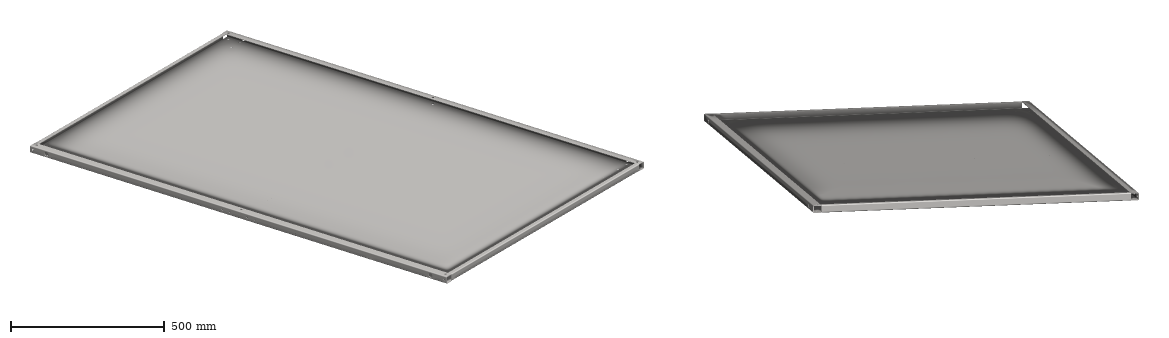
import cadquery as cq

length = 1683.0
width = 1085.0
height = 25.0

sheet_thickness = 2.0
bend_radius = 3.0
long_lip_width = 27.0
end_lip_width = 15.0

floor_hole_diameter = 8.0
floor_hole_inset_x = 60.0
floor_hole_inset_y = 59.0
covered_hole_inset_y = 13.0

lip_hole_diameter = 8.0
lip_hole_inset_x = 16.0
lip_hole_inset_y = 15.0

wall_hole_diameter = 15.0
wall_hole_inset = 65.0
screw_hole_diameter = 5.9
screw_hole_inset = 10.0
inner_screw_offset = 35.0
outer_screw_offset = 65.0

half_length = length / 2
half_width = width / 2


def folded_side(lip_width, span):
    """Channel along X, open toward +Y, with its outer wall on Y = 0 and its floor on Z = 0."""

    def bar(offset, radius):
        """Bar set in from the outer wall, floor and lip, with its two outer edges rounded."""
        return (
            cq.Workplane("XY", origin=(0, offset, offset))
            .box(span, lip_width, height - 2 * offset, centered=(True, False, False))
            .edges("|X and <Y")
            .fillet(radius)
        )

    outside = bar(0, bend_radius)
    inside = bar(sheet_thickness, bend_radius - sheet_thickness)
    return outside.cut(inside)


def folded_tray():
    """Floor with its two long sides and the two end sides fitted between their lips."""
    end_span = width - 2 * long_lip_width
    floor = cq.Workplane("XY").box(
        length - 2 * end_lip_width, end_span, sheet_thickness, centered=(True, True, False)
    )
    long_side = folded_side(long_lip_width, length).translate((0, -half_width, 0))
    end_side = folded_side(end_lip_width, end_span).translate((0, -half_length, 0))
    tray = floor
    for turn in (0, 180):
        tray = tray.union(long_side.rotate((0, 0, 0), (0, 0, 1), turn))
        tray = tray.union(end_side.rotate((0, 0, 0), (0, 0, 1), turn + 90))
    return tray


def vertical_holes(offsets_x, offsets_y, diameter, depth):
    """Holes upward from the underside, at every pairing of the given X and Y offsets."""
    places = [(x, y) for x in offsets_x for y in offsets_y]
    return cq.Workplane("XY").pushPoints(places).circle(diameter / 2).extrude(depth)


def wall_holes(offsets, diameter, depth):
    """Holes from the front wall toward +Y at mid-height, at each offset on both sides of the middle."""
    places = [(side * offset, height / 2) for offset in offsets for side in (-1, 1)]
    return (
        cq.Workplane("XZ", origin=(0, -half_width, 0))
        .pushPoints(places)
        .circle(diameter / 2)
        .extrude(-depth)
    )


floor_hole_x = half_length - floor_hole_inset_x
floor_hole_y = half_width - floor_hole_inset_y
covered_hole_y = half_width - covered_hole_inset_y
lip_hole_x = half_length - lip_hole_inset_x
lip_hole_y = half_width - lip_hole_inset_y
wall_hole_x = half_length - wall_hole_inset
end_screw_offset = half_length - screw_hole_inset

floor_holes = vertical_holes(
    (-floor_hole_x, floor_hole_x),
    (-covered_hole_y, -floor_hole_y, floor_hole_y, covered_hole_y),
    floor_hole_diameter,
    sheet_thickness,
)
lip_holes = vertical_holes((-lip_hole_x, 0, lip_hole_x), (-lip_hole_y, lip_hole_y), lip_hole_diameter, height)
through_wall_holes = wall_holes((wall_hole_x,), wall_hole_diameter, width)
screw_holes = wall_holes(
    (inner_screw_offset, outer_screw_offset, end_screw_offset), screw_hole_diameter, long_lip_width
)

result = folded_tray().cut(floor_holes).cut(lip_holes).cut(through_wall_holes).cut(screw_holes)